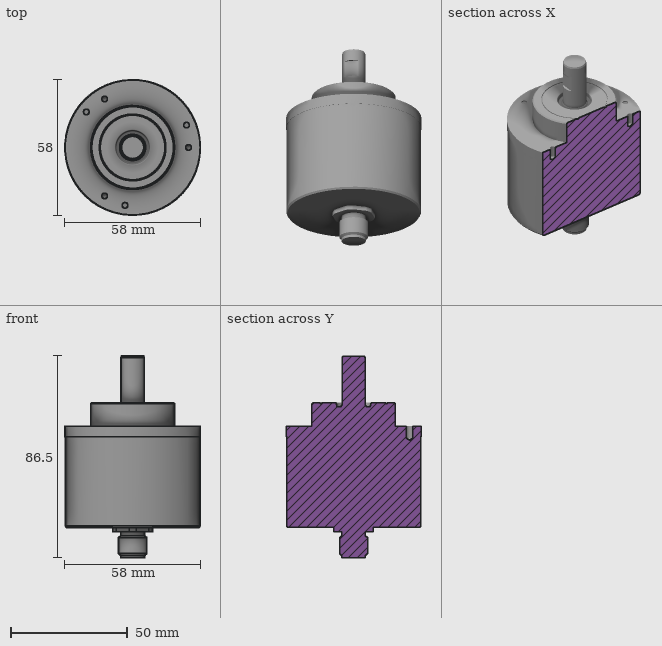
import cadquery as cq
import math

TOTAL_HEIGHT = 86.5

FLANGE_DIAMETER = 58.0
FLANGE_RADIUS = FLANGE_DIAMETER / 2
FLANGE_THICKNESS = 4.5
BODY_RADIUS = 28.9
BODY_HEIGHT = 39.0
BODY_CHAMFER_RADIAL = 0.5
BODY_CHAMFER_AXIAL = 0.8
BOSS_RADIUS = 18.0
BOSS_HEIGHT = 10.0
BOSS_CHAMFER = 0.5

RING_GROOVE_OUTER_RADIUS = 14.3
RING_GROOVE_WIDTH = 0.4
RING_GROOVE_DEPTH = 0.4
RECESS_RIM_RADIUS = 7.4
RECESS_FLOOR_RADIUS = 7.0
RECESS_DEPTH = 1.7
RECESS_EDGE_FILLET = 0.35

SHAFT_RADIUS = 5.0
SHAFT_LENGTH = 20.0
SHAFT_CHAMFER_RADIAL = 0.3
SHAFT_CHAMFER_AXIAL = 0.8
COLLAR_RADIUS = 5.6
COLLAR_HEIGHT = 0.8
FLAT_DEPTH = 1.0
FLAT_LENGTH = 7.3
FLAT_FROM_SHAFT_END = 5.0

HOLE_RADIUS = 1.2
HOLES_PER_SET = 3
POINTED_HOLE_DEPTH = 5.2
POINTED_HOLE_CIRCLE_RADIUS = 24.0
POINTED_HOLE_START_ANGLE = 0.0
DRILL_POINT_ANGLE = 118.0
FLAT_HOLE_DEPTH = 0.5
FLAT_HOLE_CIRCLE_RADIUS = 25.0
FLAT_HOLE_START_ANGLE = 22.5

NUT_SIDES = 6
NUT_ACROSS_FLATS = 17.0
NUT_CORNER_RADIUS = 9.1
NUT_THICKNESS = 1.8
CONNECTOR_NECK_RADIUS = 5.2
CONNECTOR_RADIUS = 6.1
CONNECTOR_TIP_HEIGHT = 1.0
CONNECTOR_LOWER_CONE_HEIGHT = 0.9
CONNECTOR_BARREL_HEIGHT = 6.75
CONNECTOR_UPPER_CONE_HEIGHT = 0.8

boss_top = TOTAL_HEIGHT - SHAFT_LENGTH
flange_top = boss_top - BOSS_HEIGHT
flange_bottom = flange_top - FLANGE_THICKNESS
body_bottom = flange_bottom - BODY_HEIGHT
nut_bottom = body_bottom - NUT_THICKNESS
recess_floor = boss_top - RECESS_DEPTH


def revolve_profile(points):
    """Solid of revolution about Z from (radius, z) points."""
    return cq.Workplane("XZ").polyline(points).close().revolve(360, (0, 0), (0, 1))


def make_housing():
    """Body, flange and boss in one turned piece."""
    return revolve_profile([
        (0, body_bottom),
        (BODY_RADIUS - BODY_CHAMFER_RADIAL, body_bottom),
        (BODY_RADIUS, body_bottom + BODY_CHAMFER_AXIAL),
        (BODY_RADIUS, flange_bottom),
        (FLANGE_RADIUS, flange_bottom),
        (FLANGE_RADIUS, flange_top),
        (BOSS_RADIUS, flange_top),
        (BOSS_RADIUS, boss_top - BOSS_CHAMFER),
        (BOSS_RADIUS - BOSS_CHAMFER, boss_top),
        (0, boss_top),
    ])


def make_ring_groove():
    """Narrow ring cut into the top face of the boss."""
    return (
        cq.Workplane("XY", origin=(0, 0, boss_top - RING_GROOVE_DEPTH))
        .circle(RING_GROOVE_OUTER_RADIUS)
        .circle(RING_GROOVE_OUTER_RADIUS - RING_GROOVE_WIDTH)
        .extrude(RING_GROOVE_DEPTH)
    )


def make_recess():
    """Tapered recess around the shaft, with a rounded floor edge and a rim rounded over into the boss face."""
    wall_slope = math.atan2(RECESS_DEPTH, RECESS_RIM_RADIUS - RECESS_FLOOR_RADIUS)
    tangent_length = RECESS_EDGE_FILLET * math.tan(wall_slope / 2)
    tangent_radial = tangent_length * math.cos(wall_slope)
    tangent_axial = tangent_length * math.sin(wall_slope)
    middle_radial = RECESS_EDGE_FILLET * math.sin(wall_slope / 2)
    middle_axial = RECESS_EDGE_FILLET * (1 - math.cos(wall_slope / 2))

    floor_edge = RECESS_FLOOR_RADIUS - tangent_length
    rim_edge = RECESS_RIM_RADIUS + tangent_length
    return (
        cq.Workplane("XZ")
        .moveTo(0, recess_floor)
        .lineTo(floor_edge, recess_floor)
        .threePointArc(
            (floor_edge + middle_radial, recess_floor + middle_axial),
            (RECESS_FLOOR_RADIUS + tangent_radial, recess_floor + tangent_axial),
        )
        .lineTo(RECESS_RIM_RADIUS - tangent_radial, boss_top - tangent_axial)
        .threePointArc((rim_edge - middle_radial, boss_top - middle_axial), (rim_edge, boss_top))
        .lineTo(0, boss_top)
        .close()
        .revolve(360, (0, 0), (0, 1))
    )


def make_shaft():
    """Shaft rising from the recess floor, with a conical collar at its foot and a flat on the +Y side."""
    shaft = revolve_profile([
        (0, recess_floor),
        (COLLAR_RADIUS, recess_floor),
        (SHAFT_RADIUS, recess_floor + COLLAR_HEIGHT),
        (SHAFT_RADIUS, TOTAL_HEIGHT - SHAFT_CHAMFER_AXIAL),
        (SHAFT_RADIUS - SHAFT_CHAMFER_RADIAL, TOTAL_HEIGHT),
        (0, TOTAL_HEIGHT),
    ])
    flat_bottom = TOTAL_HEIGHT - FLAT_FROM_SHAFT_END - FLAT_LENGTH
    flat_cutter = (
        cq.Workplane("XY", origin=(0, SHAFT_RADIUS - FLAT_DEPTH, flat_bottom))
        .box(2 * SHAFT_RADIUS, SHAFT_RADIUS, FLAT_LENGTH, centered=(True, False, False))
    )
    return shaft.cut(flat_cutter)


def make_flange_holes(circle_radius, start_angle, depth, point_height):
    """Ring of blind holes from the flange top; a point height above zero adds a conical drill point."""
    hole_bottom = flange_top - depth
    outline = [
        (0, flange_top),
        (HOLE_RADIUS, flange_top),
        (HOLE_RADIUS, hole_bottom),
        (0, hole_bottom - point_height),
    ]
    hole = revolve_profile(outline).translate((circle_radius, 0, 0))
    holes = cq.Workplane("XY")
    for index in range(HOLES_PER_SET):
        angle = start_angle + index * 360 / HOLES_PER_SET
        holes = holes.add(hole.rotate((0, 0, 0), (0, 0, 1), angle))
    return holes.combine()


def make_nut():
    """Hexagon nut with flats facing +X and -X and its corners turned round."""
    half_side_angle = 180 / NUT_SIDES
    across_corners = NUT_ACROSS_FLATS / math.cos(math.radians(half_side_angle))
    hexagon = (
        cq.Workplane("XY", origin=(0, 0, nut_bottom))
        .polygon(NUT_SIDES, across_corners)
        .extrude(NUT_THICKNESS)
        .rotate((0, 0, 0), (0, 0, 1), half_side_angle)
    )
    blank = cq.Workplane("XY", origin=(0, 0, nut_bottom)).circle(NUT_CORNER_RADIUS).extrude(NUT_THICKNESS)
    return hexagon.intersect(blank)


def make_connector():
    """Round connector: necked at both ends of a wider barrel."""
    barrel_bottom = CONNECTOR_TIP_HEIGHT + CONNECTOR_LOWER_CONE_HEIGHT
    barrel_top = barrel_bottom + CONNECTOR_BARREL_HEIGHT
    return revolve_profile([
        (0, 0),
        (CONNECTOR_NECK_RADIUS, 0),
        (CONNECTOR_NECK_RADIUS, CONNECTOR_TIP_HEIGHT),
        (CONNECTOR_RADIUS, barrel_bottom),
        (CONNECTOR_RADIUS, barrel_top),
        (CONNECTOR_NECK_RADIUS, barrel_top + CONNECTOR_UPPER_CONE_HEIGHT),
        (CONNECTOR_NECK_RADIUS, nut_bottom),
        (0, nut_bottom),
    ])


drill_point_height = HOLE_RADIUS / math.tan(math.radians(DRILL_POINT_ANGLE / 2))
pointed_holes = make_flange_holes(
    POINTED_HOLE_CIRCLE_RADIUS, POINTED_HOLE_START_ANGLE, POINTED_HOLE_DEPTH, drill_point_height
)
flat_holes = make_flange_holes(FLAT_HOLE_CIRCLE_RADIUS, FLAT_HOLE_START_ANGLE, FLAT_HOLE_DEPTH, 0)

result = (
    make_housing()
    .cut(make_ring_groove())
    .cut(make_recess())
    .cut(pointed_holes)
    .cut(flat_holes)
    .union(make_shaft())
    .union(make_nut())
    .union(make_connector())
)